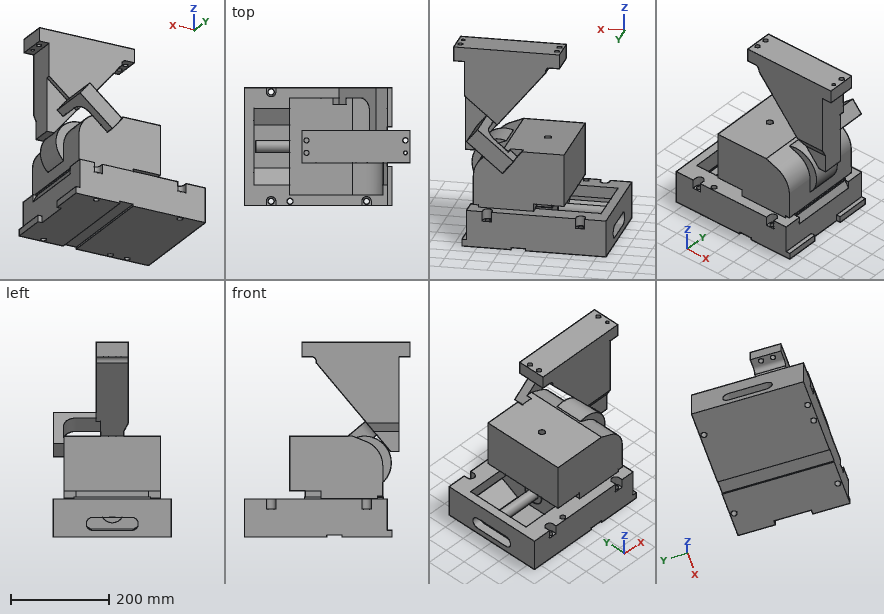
import cadquery as cq
import math

BASE_LENGTH = 291.0
BASE_WIDTH = 240.0
BASE_HEIGHT = 78.0
FOOT_LENGTH = 9.5
FOOT_HEIGHT = 14.5
FOOT_GAP_WIDTH = 80.0
KEYWAY_START = 168.0
KEYWAY_WIDTH = 30.0
KEYWAY_DEPTH = 4.5
END_WALL = 19.5

GROOVE_FLOOR = 16.5
GROOVE_FLOOR_HALF = 43.5
GROOVE_MOUTH_HALF = 78.0
GROOVE_SIDE_HALF = 87.5
GROOVE_SLOPE = 30.0
LIP_THICKNESS = 24.2
RAMP_ANGLE = 63.0

MOUNT_FIRST_X = 54.5
MOUNT_SPACING_X = 194.0
MOUNT_Y = 111.0
MOUNT_HOLE_RADIUS = 6.0
MOUNT_SEAT_RADIUS = 9.5
MOUNT_SEAT_DEPTH = 20.5
DOWEL_X = 93.0
ACCESS_SLOT_LENGTH = 105.5
ACCESS_SLOT_HEIGHT = 26.5
ACCESS_SLOT_BOTTOM = 14.0

SADDLE_START = 122.0
SADDLE_END = 282.5
SADDLE_TOP = 81.5
SCREW_RADIUS = 12.5
SCREW_Z = 52.5
SCREW_START = 22.2
SCREW_CHAMFER = 1.0
SCREW_ENGAGEMENT = 79.5
SCREW_SEAT_RADIUS = 23.0
SCREW_SEAT_DEPTH = 1.5

HOUSING_START = 92.0
HOUSING_END = 281.5
HOUSING_HALF_WIDTH = 98.5
HOUSING_TOP = 205.5
HOUSING_UNDERSIDE = 94.5
KEEL_START = 123.5
KEEL_HALF_WIDTH = 73.5
RAIL_START = 155.5
RAIL_BOTTOM = 79.0
REAR_RELIEF_START = 270.8
REAR_RELIEF_Z = 83.8
TOP_SLOPE_START = 220.5
TOP_SLOPE_ANGLE = 22.0
CORNER_RADIUS = 53.0
OIL_HOLE_X = 147.5
OIL_HOLE_RADIUS = 7.0
OIL_HOLE_DEPTH = 39.7
KNUCKLE_RADIUS = 54.5
KNUCKLE_X = 244.5
KNUCKLE_WIDTH = 66.0

TILT = 40.0
ARM_HALF_WIDTH = 33.0
ARM_TOP = 397.0
PLATE_START = 116.7
PLATE_END = 337.0
PLATE_THICKNESS = 30.0
PLATE_HOLE_INSET = 9.5
PLATE_HOLE_Y = 12.7
PLATE_HOLE_RADIUS = 5.0
PLATE_SMALL_HOLE_RADIUS = 3.5
GUSSET_START = 146.0
GUSSET_END = 315.0
GUSSET_BOTTOM = 174.0
GUSSET_SHOULDER = 354.5
GUSSET_FILLET = 9.5
STEM_HALF_WIDTH = 23.5
BEVEL_TOP = 232.2
BEVEL_BOTTOM = 214.8
HOOK_FOOT_X = 192.5
HOOK_FOOT_Z = 190.5
HOOK_LENGTH = 98.5
HOOK_THICKNESS = 35.7
HOOK_BAR = 18.0
HOOK_OUTER_Y = 119.5
HOOK_INNER_Y = 99.0
HOOK_TAB_WIDTH = 20.2
HOOK_TAB_Y = 86.0
HOOK_FILLET = 25.0


def sine(angle):
    return math.sin(math.radians(angle))


def cosine(angle):
    return math.cos(math.radians(angle))


def tangent(angle):
    return math.tan(math.radians(angle))


def box(x0, x1, y0, y1, z0, z1):
    return cq.Workplane("XY").box(x1 - x0, y1 - y0, z1 - z0, centered=False).translate((x0, y0, z0))


def side_profile(points, y0, y1):
    """Prism with an outline in the XZ plane, from y0 to y1."""
    return cq.Workplane("XZ", origin=(0, y1, 0)).polyline(points).close().extrude(y1 - y0)


def screw_cylinder(radius, x0, x1):
    """Cylinder on the screw axis."""
    return cq.Workplane("YZ", origin=(x0, 0, SCREW_Z)).circle(radius).extrude(x1 - x0)


def guide_profile(x0, x1, top):
    """Prism along X with the section of the guide groove, up to the given height."""
    lip_z = BASE_HEIGHT - LIP_THICKNESS
    side_z = GROOVE_FLOOR + (GROOVE_SIDE_HALF - GROOVE_FLOOR_HALF) * tangent(GROOVE_SLOPE)
    half = [
        (GROOVE_FLOOR_HALF, GROOVE_FLOOR),
        (GROOVE_SIDE_HALF, side_z),
        (GROOVE_SIDE_HALF, lip_z),
        (GROOVE_MOUTH_HALF, lip_z),
        (GROOVE_MOUTH_HALF, top),
    ]
    mirrored = [(-y, z) for y, z in reversed(half)]
    return cq.Workplane("YZ", origin=(x0, 0, 0)).polyline(half + mirrored).close().extrude(x1 - x0)


def mount_cutter(x, side):
    """Through hole with a seat that opens to the side of the base."""
    seat_z = BASE_HEIGHT - MOUNT_SEAT_DEPTH
    hole = cq.Workplane("XY", origin=(x, side * MOUNT_Y, 0)).circle(MOUNT_HOLE_RADIUS).extrude(BASE_HEIGHT)
    seat = (
        cq.Workplane("XY", origin=(x, side * MOUNT_Y, seat_z))
        .circle(MOUNT_SEAT_RADIUS)
        .extrude(MOUNT_SEAT_DEPTH)
    )
    mouth_y0, mouth_y1 = sorted((side * MOUNT_Y, side * BASE_WIDTH / 2))
    mouth = box(x - MOUNT_SEAT_RADIUS, x + MOUNT_SEAT_RADIUS, mouth_y0, mouth_y1, seat_z, BASE_HEIGHT)
    return hole.union(seat).union(mouth)


def make_base():
    half = BASE_WIDTH / 2
    foot_end = BASE_LENGTH + FOOT_LENGTH
    base = box(0, BASE_LENGTH, -half, half, 0, BASE_HEIGHT)
    base = base.union(box(BASE_LENGTH, foot_end, -half, half, 0, FOOT_HEIGHT))
    base = base.cut(box(BASE_LENGTH, foot_end, -FOOT_GAP_WIDTH / 2, FOOT_GAP_WIDTH / 2, 0, FOOT_HEIGHT))
    base = base.cut(box(KEYWAY_START, KEYWAY_START + KEYWAY_WIDTH, -half, half, 0, KEYWAY_DEPTH))

    base = base.cut(guide_profile(END_WALL, SADDLE_END, BASE_HEIGHT))
    ramp = [
        (SADDLE_END, BASE_HEIGHT),
        (BASE_LENGTH, BASE_HEIGHT),
        (BASE_LENGTH, BASE_HEIGHT - (BASE_LENGTH - SADDLE_END) * tangent(RAMP_ANGLE)),
    ]
    base = base.cut(side_profile(ramp, -GROOVE_MOUTH_HALF, GROOVE_MOUTH_HALF))

    access_z = ACCESS_SLOT_BOTTOM + ACCESS_SLOT_HEIGHT / 2
    access = (
        cq.Workplane("YZ", origin=(0, 0, access_z))
        .slot2D(ACCESS_SLOT_LENGTH, ACCESS_SLOT_HEIGHT)
        .extrude(END_WALL)
    )
    base = base.cut(access)

    for x in (MOUNT_FIRST_X, MOUNT_FIRST_X + MOUNT_SPACING_X):
        for side in (-1, 1):
            base = base.cut(mount_cutter(x, side))
    dowel = cq.Workplane("XY", origin=(DOWEL_X, -MOUNT_Y, 0)).circle(MOUNT_HOLE_RADIUS).extrude(BASE_HEIGHT)
    return base.cut(dowel)


def make_screw():
    screw = screw_cylinder(SCREW_RADIUS, SCREW_START, SADDLE_START + SCREW_ENGAGEMENT)
    return screw.faces("<X").chamfer(SCREW_CHAMFER)


def make_saddle():
    saddle = guide_profile(SADDLE_START, SADDLE_END, SADDLE_TOP)
    saddle = saddle.cut(screw_cylinder(SCREW_RADIUS, SADDLE_START, SADDLE_START + SCREW_ENGAGEMENT))
    return saddle.cut(screw_cylinder(SCREW_SEAT_RADIUS, SADDLE_START, SADDLE_START + SCREW_SEAT_DEPTH))


def hook_plane():
    """Upper face of the hook plate: local x runs up the slope and local y along Y."""
    return cq.Plane(
        origin=(HOOK_FOOT_X, 0, HOOK_FOOT_Z),
        xDir=(cosine(TILT), 0, sine(TILT)),
        normal=(-sine(TILT), 0, cosine(TILT)),
    )


def make_housing():
    arc_center_x = HOUSING_END - CORNER_RADIUS
    slope_end_x = arc_center_x + CORNER_RADIUS * sine(TOP_SLOPE_ANGLE)
    slope_end_z = HOUSING_TOP - (slope_end_x - TOP_SLOPE_START) * tangent(TOP_SLOPE_ANGLE)
    arc_center_z = slope_end_z - CORNER_RADIUS * cosine(TOP_SLOPE_ANGLE)
    mid_angle = (90 - TOP_SLOPE_ANGLE) / 2
    arc_mid = (
        arc_center_x + CORNER_RADIUS * cosine(mid_angle),
        arc_center_z + CORNER_RADIUS * sine(mid_angle),
    )
    half = HOUSING_HALF_WIDTH
    housing = (
        cq.Workplane("XZ", origin=(0, half, 0))
        .moveTo(HOUSING_START, HOUSING_UNDERSIDE)
        .lineTo(HOUSING_START, HOUSING_TOP)
        .lineTo(TOP_SLOPE_START, HOUSING_TOP)
        .lineTo(slope_end_x, slope_end_z)
        .threePointArc(arc_mid, (HOUSING_END, arc_center_z))
        .lineTo(HOUSING_END, HOUSING_UNDERSIDE)
        .close()
        .extrude(2 * half)
    )

    keel = box(KEEL_START, HOUSING_END, -KEEL_HALF_WIDTH, KEEL_HALF_WIDTH, SADDLE_TOP, HOUSING_UNDERSIDE)
    housing = housing.union(keel)
    for y0, y1 in ((-half, -KEEL_HALF_WIDTH), (KEEL_HALF_WIDTH, half)):
        housing = housing.union(box(RAIL_START, HOUSING_END, y0, y1, RAIL_BOTTOM, HOUSING_UNDERSIDE))

    mouth = GROOVE_MOUTH_HALF
    housing = housing.cut(box(RAIL_START, HOUSING_END, -mouth, mouth, RAIL_BOTTOM, SADDLE_TOP))
    housing = housing.cut(box(REAR_RELIEF_START, HOUSING_END, -half, half, RAIL_BOTTOM, REAR_RELIEF_Z))

    knuckle = (
        cq.Workplane("XZ", origin=(KNUCKLE_X, KNUCKLE_WIDTH / 2, HOUSING_TOP - KNUCKLE_RADIUS))
        .circle(KNUCKLE_RADIUS)
        .extrude(KNUCKLE_WIDTH)
    )
    housing = housing.union(knuckle)

    oil_hole = (
        cq.Workplane("XY", origin=(OIL_HOLE_X, 0, HOUSING_TOP - OIL_HOLE_DEPTH))
        .circle(OIL_HOLE_RADIUS)
        .extrude(OIL_HOLE_DEPTH)
    )
    housing = housing.cut(oil_hole)

    channel = (
        cq.Workplane(hook_plane())
        .workplane(offset=-HOOK_THICKNESS)
        .moveTo(0, HOOK_TAB_Y)
        .rect(HOOK_TAB_WIDTH, half - HOOK_TAB_Y, centered=False)
        .extrude(2 * HOOK_THICKNESS)
    )
    return housing.cut(channel)


def make_hook():
    """L-shaped plate with a tab at its foot that turns in under the side of the housing."""
    bar_start = HOOK_LENGTH - HOOK_BAR
    center_x = bar_start - HOOK_FILLET
    center_y = HOOK_INNER_Y - HOOK_FILLET
    arc_mid = (center_x + HOOK_FILLET * cosine(45), center_y + HOOK_FILLET * sine(45))
    return (
        cq.Workplane(hook_plane())
        .moveTo(0, HOOK_OUTER_Y)
        .lineTo(HOOK_LENGTH, HOOK_OUTER_Y)
        .lineTo(HOOK_LENGTH, 0)
        .lineTo(bar_start, 0)
        .lineTo(bar_start, center_y)
        .threePointArc(arc_mid, (center_x, HOOK_INNER_Y))
        .lineTo(HOOK_TAB_WIDTH, HOOK_INNER_Y)
        .lineTo(HOOK_TAB_WIDTH, HOOK_TAB_Y)
        .lineTo(0, HOOK_TAB_Y)
        .close()
        .extrude(-HOOK_THICKNESS)
    )


def make_gusset():
    plate_bottom = ARM_TOP - PLATE_THICKNESS
    tip_x = GUSSET_START + (GUSSET_SHOULDER - GUSSET_BOTTOM) * tangent(TILT)
    outline = [
        (GUSSET_START, plate_bottom),
        (GUSSET_END, plate_bottom),
        (GUSSET_END, GUSSET_BOTTOM),
        (tip_x, GUSSET_BOTTOM),
        (GUSSET_START, GUSSET_SHOULDER),
    ]
    gusset = side_profile(outline, -ARM_HALF_WIDTH, ARM_HALF_WIDTH)

    bevel = [
        (-ARM_HALF_WIDTH, BEVEL_TOP),
        (-STEM_HALF_WIDTH, BEVEL_BOTTOM),
        (-STEM_HALF_WIDTH, GUSSET_BOTTOM),
        (-ARM_HALF_WIDTH, GUSSET_BOTTOM),
    ]
    gusset = gusset.cut(cq.Workplane("YZ").polyline(bevel).close().extrude(GUSSET_END))

    step = (
        cq.Workplane(hook_plane())
        .moveTo(0, STEM_HALF_WIDTH)
        .rect(2 * HOOK_LENGTH, ARM_HALF_WIDTH - STEM_HALF_WIDTH, centered=False)
        .extrude(-2 * HOOK_LENGTH)
    )
    return gusset.cut(step)


def make_arm():
    plate_bottom = ARM_TOP - PLATE_THICKNESS
    arm = box(PLATE_START, PLATE_END, -ARM_HALF_WIDTH, ARM_HALF_WIDTH, plate_bottom, ARM_TOP)
    arm = arm.union(make_gusset())

    fillet_x = GUSSET_START - GUSSET_FILLET
    fillet_z = plate_bottom - GUSSET_FILLET
    fillet_block = box(fillet_x, GUSSET_START, -ARM_HALF_WIDTH, ARM_HALF_WIDTH, fillet_z, plate_bottom)
    fillet_round = (
        cq.Workplane("XZ", origin=(fillet_x, ARM_HALF_WIDTH, fillet_z))
        .circle(GUSSET_FILLET)
        .extrude(2 * ARM_HALF_WIDTH)
    )
    arm = arm.union(fillet_block.cut(fillet_round))

    first_x = PLATE_START + PLATE_HOLE_INSET
    last_x = PLATE_END - PLATE_HOLE_INSET
    plate_holes = [
        (first_x, -PLATE_HOLE_Y, PLATE_HOLE_RADIUS),
        (first_x, PLATE_HOLE_Y, PLATE_HOLE_RADIUS),
        (last_x, -PLATE_HOLE_Y, PLATE_SMALL_HOLE_RADIUS),
        (last_x, PLATE_HOLE_Y, PLATE_HOLE_RADIUS),
    ]
    for x, y, radius in plate_holes:
        hole = cq.Workplane("XY", origin=(x, y, plate_bottom)).circle(radius).extrude(PLATE_THICKNESS)
        arm = arm.cut(hole)
    return arm.union(make_hook())


base = make_base()
screw = make_screw()
saddle = make_saddle()
housing = make_housing()
arm = make_arm()

bodies = (base, screw, saddle, housing, arm)
result = cq.Compound.makeCompound([body.solids().val() for body in bodies])